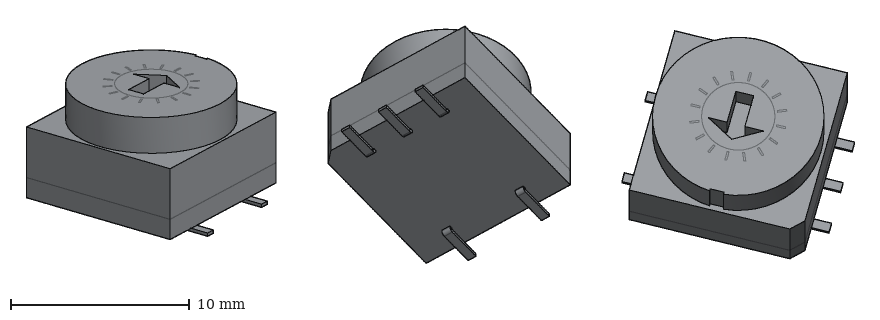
import cadquery as cq

overall_length = 12.0
overall_height = 6.8

body_size = 10.0
standoff = 0.3
base_height = 1.24
cover_height = 3.08
corner_cut = 0.7
body_top = standoff + base_height + cover_height

dial_diameter = 9.6
dial_height = overall_height - body_top
notch_width = 0.8
notch_depth = 0.15
rotor_diameter = 4.1

arrow_tip_y = 1.44
arrow_shoulder_y = 0.5
arrow_tail_y = -1.43
arrow_head_width = 3.19
arrow_shaft_width = 1.03
arrow_depth = 1.5

mark_count = 16
mark_inner_radius = 2.22
mark_length = 0.52
mark_width = 0.11
mark_depth = 0.06

terminal_length = 2.5
terminal_width = 0.55
terminal_thickness = 0.2
terminal_bend_radius = 0.24
terminal_pitch = 2.55
left_terminal_rows = (-1, 0, 1)
right_terminal_rows = (-1, 1)


def body_slab(bottom, height):
    """One layer of the housing, with the corner at -X, +Y cut off."""
    slab = cq.Workplane("XY").box(body_size, body_size, height, centered=(True, True, False))
    slab = slab.edges("|Z and <X and >Y").chamfer(corner_cut)
    return slab.translate((0, 0, bottom))


def cylinder(diameter):
    """A cylinder of the dial's height, standing on the cover."""
    return cq.Workplane("XY").workplane(offset=body_top).circle(diameter / 2).extrude(dial_height)


def position_marks():
    """Thin radial bars evenly spaced around the rotor, level with the dial face."""
    centre_radius = mark_inner_radius + mark_length / 2
    return (
        cq.Workplane("XY")
        .workplane(offset=overall_height)
        .polarArray(centre_radius, 0, 360, mark_count)
        .rect(mark_length, mark_width)
        .extrude(-mark_depth)
    )


def dial_ring():
    """The dial around the rotor, with its rim notch on the +Y side."""
    notch_floor_y = dial_diameter / 2 - notch_depth
    notch = (
        cq.Workplane("XY")
        .box(notch_width, 2 * notch_depth, dial_height, centered=(True, False, False))
        .translate((0, notch_floor_y, body_top))
    )
    return cylinder(dial_diameter).cut(cylinder(rotor_diameter)).cut(notch)


def arrow_recess():
    """The solid removed from the rotor to leave the arrow recess."""
    head_half = arrow_head_width / 2
    shaft_half = arrow_shaft_width / 2
    outline = [
        (0, arrow_tip_y),
        (head_half, arrow_shoulder_y),
        (shaft_half, arrow_shoulder_y),
        (shaft_half, arrow_tail_y),
        (-shaft_half, arrow_tail_y),
        (-shaft_half, arrow_shoulder_y),
        (-head_half, arrow_shoulder_y),
    ]
    return cq.Workplane("XY").workplane(offset=overall_height).polyline(outline).close().extrude(-arrow_depth)


def left_terminal(row):
    """An L-shaped terminal leaving towards -X, at the given row along Y."""
    tip_x = -overall_length / 2
    bend_x = tip_x + terminal_length
    profile = [
        (tip_x, 0),
        (bend_x, 0),
        (bend_x, standoff),
        (bend_x - terminal_thickness, standoff),
        (bend_x - terminal_thickness, terminal_thickness),
        (tip_x, terminal_thickness),
    ]
    strip = cq.Workplane("XZ").polyline(profile).close().extrude(terminal_width / 2, both=True)
    strip = strip.edges("|Y and >X and <Z").fillet(terminal_bend_radius)
    return strip.translate((0, row * terminal_pitch, 0))


marks = position_marks()
result = body_slab(standoff, base_height)
result = result.union(body_slab(standoff + base_height, cover_height), clean=False)
result = result.union(dial_ring().cut(marks), clean=False)
result = result.union(cylinder(rotor_diameter).cut(arrow_recess()), clean=False)
result = result.union(marks, clean=False)

for row in left_terminal_rows:
    result = result.union(left_terminal(row), clean=False)
for row in right_terminal_rows:
    result = result.union(left_terminal(row).mirror("YZ"), clean=False)